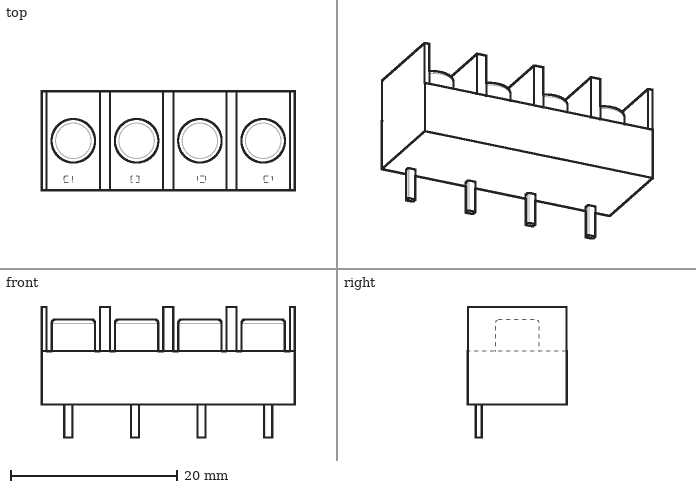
import cadquery as cq

pole_count = 4
pole_pitch = 7.62
body_length = pole_count * pole_pitch
body_depth = 11.95
body_height = 6.45

wall_thickness = 1.22
wall_inset = 0.03
wall_height = 5.35
wall_depth = body_depth - 2 * wall_inset

screw_diameter = 5.25
screw_height = 3.85
screw_fillet = 0.5

pin_pitch = 8.02
pin_width = 1.0
pin_depth = 0.73
pin_length = 4.0
pin_corner_radius = 0.1
pin_front_distance = 1.35
pin_y = pin_front_distance - body_depth / 2


def row_points(count, pitch, y=0.0):
    """Evenly spaced points along X, centred on X = 0."""
    return [((i - (count - 1) / 2) * pitch, y) for i in range(count)]


def make_body():
    return cq.Workplane("XY").box(body_length, body_depth, body_height, centered=(True, True, False))


def make_walls():
    """A wall on every pole boundary; the end walls are cut to half thickness by the block ends."""
    walls = (
        cq.Workplane("XY", origin=(0, 0, body_height))
        .pushPoints(row_points(pole_count + 1, pole_pitch))
        .rect(wall_thickness, wall_depth)
        .extrude(wall_height)
    )
    envelope = cq.Workplane("XY", origin=(0, 0, body_height)).box(
        body_length, body_depth, wall_height, centered=(True, True, False)
    )
    return walls.intersect(envelope)


def make_screws():
    return (
        cq.Workplane("XY", origin=(0, 0, body_height))
        .pushPoints(row_points(pole_count, pole_pitch))
        .circle(screw_diameter / 2)
        .extrude(screw_height)
        .faces(">Z")
        .edges()
        .fillet(screw_fillet)
    )


def make_pins():
    return (
        cq.Workplane("XY")
        .pushPoints(row_points(pole_count, pin_pitch, pin_y))
        .rect(pin_width, pin_depth)
        .extrude(-pin_length)
        .edges("|Z")
        .fillet(pin_corner_radius)
    )


result = make_body().union(make_walls()).union(make_screws()).union(make_pins())